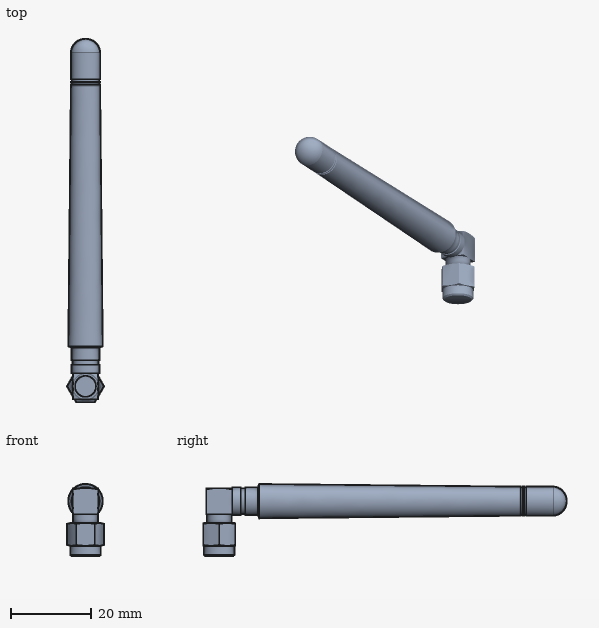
import cadquery as cq
import math

nut_across_flats = 8.0
nut_across_corners = nut_across_flats / math.cos(math.radians(30))
nut_bottom = 2.52
nut_top = 8.36
nut_chamfer_circle = 7.0
chamfer_angle = 15.0
collar_diameter = 7.7
collar_chamfer = 0.4

block_width = 6.3
block_length = 6.5
block_height = 6.5
block_chamfer_circle = 6.5
stem_diameter = 6.3
recess_diameter = 5.23
recess_depth = 0.15

tube_base_diameter = 8.65
tube_tip_diameter = 7.35
overall_height = 18.05
overall_length = 90.57
axis_height = overall_height - tube_base_diameter / 2
tip_y = overall_length - nut_across_flats / 2
tube_start_y = 9.65
shoulder_length = 0.3
dome_length = 3.35

taper_end_y = 74.8
ring_groove_count = 2
ring_groove_width = 0.5
ring_groove_land = 0.3
ring_groove_depth = 0.2

neck_diameter = 7.0
neck_groove_diameter = 6.5
neck_groove_start = 5.4
neck_groove_width = 1.1

block_bottom = axis_height - block_height / 2
block_top = axis_height + block_height / 2


FULL_TURN = 360
AXIS_START = (0, 0, 0)
AXIS_END = (0, 1, 0)


def upright_cylinder(diameter, bottom, top):
    return cq.Workplane("XY").workplane(offset=bottom).circle(diameter / 2).extrude(top - bottom)


def tube_ring(outer_diameter, inner_diameter, start_y, width):
    """Ring around the antenna axis."""
    profile = cq.Workplane("XY").moveTo(inner_diameter / 2, start_y)
    profile = profile.lineTo(outer_diameter / 2, start_y)
    profile = profile.lineTo(outer_diameter / 2, start_y + width)
    profile = profile.lineTo(inner_diameter / 2, start_y + width).close()
    return profile.revolve(FULL_TURN, AXIS_START, AXIS_END).translate((0, 0, axis_height))


def chamfer_envelope(circle_diameter, bottom, top, outer_radius, both_ends):
    """Turned body that bevels the corners of a prism outside the given circle."""
    inner_radius = circle_diameter / 2
    drop = (outer_radius - inner_radius) * math.tan(math.radians(chamfer_angle))
    profile = cq.Workplane("XZ").moveTo(0, bottom)
    if both_ends:
        profile = profile.lineTo(inner_radius, bottom).lineTo(outer_radius, bottom + drop)
    else:
        profile = profile.lineTo(outer_radius, bottom)
    profile = profile.lineTo(outer_radius, top - drop).lineTo(inner_radius, top).lineTo(0, top).close()
    return profile.revolve(FULL_TURN, AXIS_START, AXIS_END)


def make_nut():
    hexagon = cq.Workplane("XY").workplane(offset=nut_bottom).polygon(6, nut_across_corners)
    hexagon = hexagon.extrude(nut_top - nut_bottom)
    envelope = chamfer_envelope(nut_chamfer_circle, nut_bottom, nut_top, nut_across_corners / 2, True)
    collar = upright_cylinder(collar_diameter, 0, nut_bottom).faces("<Z").chamfer(collar_chamfer)
    return hexagon.intersect(envelope).union(collar)


def make_block():
    block = cq.Workplane("XY").box(block_width, block_length, block_height)
    block = block.translate((0, 0, axis_height))
    corner_radius = math.hypot(block_width, block_length) / 2
    block = block.intersect(
        chamfer_envelope(block_chamfer_circle, block_bottom, block_top, corner_radius, False)
    )
    block = block.cut(upright_cylinder(recess_diameter, block_top - recess_depth, block_top))
    return block.union(upright_cylinder(stem_diameter, nut_top, block_bottom))


def make_neck():
    start_y = block_length / 2
    neck = tube_ring(neck_diameter, 0, start_y, tube_start_y - start_y)
    return neck.cut(tube_ring(neck_diameter, neck_groove_diameter, neck_groove_start, neck_groove_width))


def make_tube():
    base_radius = tube_base_diameter / 2
    tip_radius = tube_tip_diameter / 2
    dome_start_y = tip_y - dome_length
    profile = cq.Workplane("XY").moveTo(0, tube_start_y)
    profile = profile.lineTo(neck_diameter / 2, tube_start_y)
    profile = profile.lineTo(base_radius, tube_start_y + shoulder_length)
    profile = profile.lineTo(tip_radius, taper_end_y).lineTo(tip_radius, dome_start_y)
    dome_radius = (tip_radius**2 + dome_length**2) / (2 * dome_length)
    profile = profile.radiusArc((0, tip_y), -dome_radius).close()
    tube = profile.revolve(FULL_TURN, AXIS_START, AXIS_END).translate((0, 0, axis_height))
    floor_diameter = tube_tip_diameter - 2 * ring_groove_depth
    for index in range(ring_groove_count):
        start_y = taper_end_y + ring_groove_land + index * (ring_groove_width + ring_groove_land)
        tube = tube.cut(tube_ring(tube_base_diameter, floor_diameter, start_y, ring_groove_width))
    return tube


result = make_nut().union(make_block()).union(make_neck()).union(make_tube())